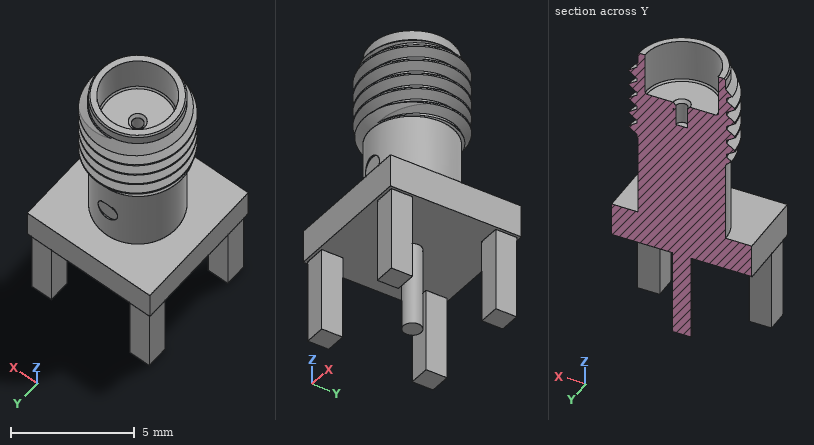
import cadquery as cq
import math

total_height = 13.46
base_width = 6.35
base_bottom = 3.95
base_top = 5.49

leg_width = 1.02
leg_inset = 0.13
pin_diameter = 0.86

barrel_diameter = 3.98
rim_chamfer = 0.07

recess_diameter = 1.01
recess_height = 7.27
recess_depth = 0.07

thread_bottom = 9.14
thread_top = 12.95
thread_major_diameter = 4.8
thread_root_diameter = 4.06
thread_pitch = 0.7
thread_crest_width = 0.08
thread_root_width = 0.11
thread_crest_height = 12.42
groove_overshoot = 0.07

bore_diameter = 3.3
bore_floor_diameter = 3.15
bore_depth = 1.87
contact_mouth_diameter = 0.77
contact_hole_diameter = 0.51
contact_hole_depth = 1.08


def cylinder(diameter, bottom, top):
    return cq.Workplane("XY").workplane(offset=bottom).circle(diameter / 2).extrude(top - bottom)


def base_with_legs():
    base = (
        cq.Workplane("XY").workplane(offset=base_bottom)
        .rect(base_width, base_width).extrude(base_top - base_bottom)
    )
    leg_spacing = base_width - 2 * leg_inset - leg_width
    legs = (
        cq.Workplane("XY").rarray(leg_spacing, leg_spacing, 2, 2)
        .rect(leg_width, leg_width).extrude(base_bottom)
    )
    return base.union(legs).union(cylinder(pin_diameter, 0, base_bottom))


def barrel():
    body = cylinder(barrel_diameter, base_top, total_height)
    body = body.faces(">Z").edges().chamfer(rim_chamfer)
    for side in (-1, 1):
        floor = side * (barrel_diameter / 2 - recess_depth)
        recess = (
            cq.Workplane("XZ", origin=(0, floor, recess_height))
            .circle(recess_diameter / 2).extrude(-side * barrel_diameter / 2)
        )
        body = body.cut(recess)
    return body


def thread_groove():
    root_radius = thread_root_diameter / 2
    thread_depth = (thread_major_diameter - thread_root_diameter) / 2
    half_root = thread_root_width / 2
    half_mouth = (thread_pitch - thread_crest_width) / 2
    flank_slope = (half_mouth - half_root) / thread_depth
    outer_radius = root_radius + thread_depth + groove_overshoot
    half_outer = half_mouth + flank_slope * groove_overshoot

    groove_height = thread_crest_height - thread_pitch / 2
    turns_below = math.ceil((groove_height - thread_bottom) / thread_pitch) + 1
    helix_start = groove_height - turns_below * thread_pitch
    turns = math.ceil((thread_top - helix_start) / thread_pitch) + 1
    helix_length = turns * thread_pitch

    corners = [
        (root_radius, -half_root),
        (outer_radius, -half_outer),
        (outer_radius, half_outer),
        (root_radius, half_root),
    ]
    helices = [
        cq.Wire.makeHelix(thread_pitch, helix_length, radius, cq.Vector(0, 0, helix_start + rise))
        for radius, rise in corners
    ]
    faces = [cq.Face.makeRuledSurface(helices[i - 1], helices[i]) for i in range(len(helices))]
    for end_height in (helix_start, helix_start + helix_length):
        points = [cq.Vector(radius, 0, end_height + rise) for radius, rise in corners]
        faces.append(cq.Face.makeFromWires(cq.Wire.makePolygon(points, close=True)))
    return cq.Workplane(cq.Solid.makeSolid(cq.Shell.makeShell(faces)))


def thread():
    end_chamfer = (thread_major_diameter - barrel_diameter) / 2
    blank = cylinder(thread_major_diameter, thread_bottom, thread_top).edges().chamfer(end_chamfer)
    blank = blank.rotate((0, 0, 0), (0, 0, 1), 180)
    return blank.cut(thread_groove())


def socket():
    bevel = (bore_diameter - bore_floor_diameter) / 2
    bore_bottom = total_height - bore_depth - bevel
    bore = cylinder(bore_diameter, bore_bottom, total_height).faces("<Z").edges().chamfer(bevel)
    mouth_bevel = (contact_mouth_diameter - contact_hole_diameter) / 2
    contact_hole = cylinder(contact_hole_diameter, bore_bottom - contact_hole_depth, bore_bottom)
    mouth = (
        cq.Workplane("XY").workplane(offset=bore_bottom)
        .circle(contact_mouth_diameter / 2)
        .workplane(offset=-mouth_bevel).circle(contact_hole_diameter / 2).loft()
    )
    return bore.union(contact_hole).union(mouth)


result = base_with_legs().union(barrel()).union(thread()).cut(socket())